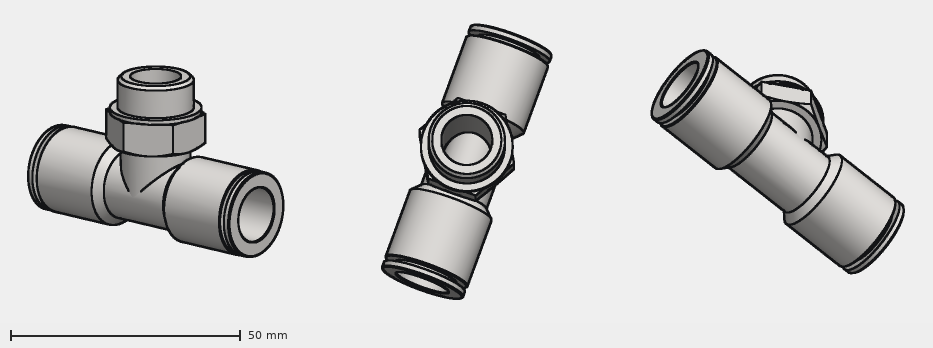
import cadquery as cq
import math

run_length = 57.0
body_dia = 19.0
body_end = 25.95
body_edge = 0.15
waist_dia = 15.2
waist_half_length = 8.4
groove_dia = 14.0
collar_dia = 18.8
collar_width = 1.4
collar_edge = 0.2
run_bore_dia = 11.0
socket_dia = 12.0
mouth_chamfer = 0.15
shoulder_x = waist_half_length + (body_dia - waist_dia) / 2

branch_top = 35.5 - body_dia / 2
thread_dia = 16.65
thread_chamfer = 0.8
flange_dia = 20.0
flange_top = 19.0
hex_top = 17.95
hex_bottom = 10.6
hex_flats = body_dia
hex_corners = hex_flats / math.cos(math.radians(30))
hex_chamfer_angle = 30
branch_bore_dia = 11.1


def vertical_cylinder(diameter, bottom, top):
    return cq.Workplane("XY", origin=(0, 0, bottom)).circle(diameter / 2).extrude(top - bottom)


def revolve_about_run(half_outline):
    """Mirror an (x, radius) outline to -X and revolve it about the X axis."""
    mirrored = [(-x, radius) for x, radius in reversed(half_outline)]
    return cq.Workplane("XY").polyline(mirrored + half_outline).close().revolve(360, (0, 0), (1, 0))


def make_run():
    """Solid of revolution about X: two socket bodies, waist, and end collars."""
    end = run_length / 2
    collar_start = end - collar_width
    body_r = body_dia / 2
    waist_r = waist_dia / 2
    groove_r = groove_dia / 2
    collar_r = collar_dia / 2
    half_outline = [
        (waist_half_length, waist_r),
        (shoulder_x, body_r),
        (body_end - body_edge, body_r),
        (body_end, body_r - body_edge),
        (body_end, groove_r),
        (collar_start, groove_r),
        (collar_start, collar_r),
        (end - collar_edge, collar_r),
        (end, collar_r - collar_edge),
        (end, 0),
    ]
    return revolve_about_run(half_outline)


def make_hex():
    """Hexagon with flats facing +/-X and its lower corners cut by a cone."""
    prism = (
        cq.Workplane("XY", origin=(0, 0, hex_bottom))
        .transformed(rotate=(0, 0, 30))
        .polygon(6, hex_corners)
        .extrude(hex_top - hex_bottom)
    )
    flat_r = hex_flats / 2
    corner_r = hex_corners / 2
    chamfer_rise = (corner_r - flat_r) * math.tan(math.radians(hex_chamfer_angle))
    envelope = (
        cq.Workplane("XZ")
        .polyline([
            (0, hex_bottom),
            (flat_r, hex_bottom),
            (corner_r, hex_bottom + chamfer_rise),
            (corner_r, hex_top),
            (0, hex_top),
        ])
        .close()
        .revolve(360, (0, 0), (0, 1))
    )
    return prism.intersect(envelope)


def make_branch():
    stem = vertical_cylinder(waist_dia, 0, hex_bottom)
    flange = vertical_cylinder(flange_dia, hex_top, flange_top)
    thread = vertical_cylinder(thread_dia, flange_top, branch_top).faces(">Z").chamfer(thread_chamfer)
    return stem.union(make_hex()).union(flange).union(thread)


def make_run_bore():
    """Through bore along X, widened to a tube socket behind each chamfered mouth."""
    end = run_length / 2
    bore_r = run_bore_dia / 2
    socket_r = socket_dia / 2
    half_outline = [
        (shoulder_x, bore_r),
        (shoulder_x, socket_r),
        (end - mouth_chamfer, socket_r),
        (end, socket_r + mouth_chamfer),
        (end, 0),
    ]
    return revolve_about_run(half_outline)


branch_bore = vertical_cylinder(branch_bore_dia, 0, branch_top)
result = make_run().union(make_branch()).cut(make_run_bore()).cut(branch_bore)